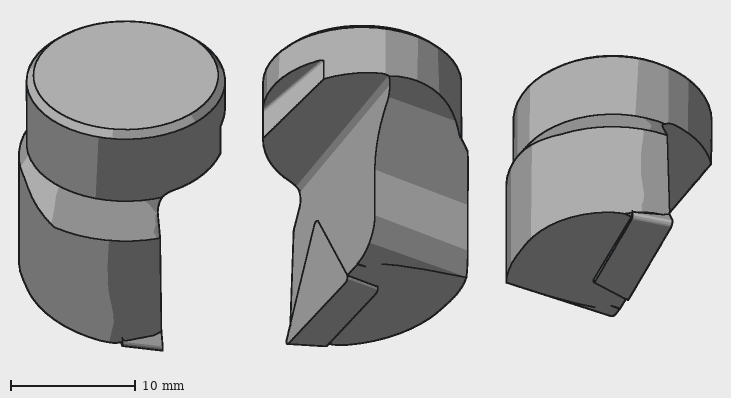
import cadquery as cq
import math

TOTAL_HEIGHT = 20.0
HEAD_RADIUS = 8.0
HEAD_BOTTOM = 13.28
HEAD_CHAMFER = 0.55

SHOULDER_BOTTOM = 10.52
SHOULDER_RADIUS = 9.65
FOOT_RADIUS = 10.32
FRONT_Y = -8.7
LEFT_ARC_RADIUS = 8.7
LEFT_ARC_X = 0.3
RIGHT_ARC_RADIUS = 8.9
RIGHT_ARC_X = 1.7

SIDE_X = -4.0
RELIEF_RADIUS = 8.0
RELIEF_TANGENT_Z = 8.2
HEEL_RADIUS = 2.95

FOOT_Z = 0.8
FOOT_FALL_X = 0.04
FOOT_FALL_Y = 0.1
TIP_CHAMFER_X = 8.85

WALL_ANGLE = math.radians(5.4)
WALL_Y = 1.08
CEILING_Z = 14.35
CEILING_FALL = 0.092
POCKET_CORNER_RADIUS = 1.4

STEP_Y = 6.68
STEP_Z = 16.75
STEP_CORNER_RADIUS = 0.25

INSERT_EDGE = 10.9
INSERT_THICKNESS = 3.15
INSERT_NOSE_RADIUS = 0.4
INSERT_RELIEF_ANGLE = 7.0
INSERT_CORNER_X = 0.3
INSERT_CORNER_Z = 0.15
INSERT_FALL = 0.014

DIAGONAL = math.sqrt(0.5)
REACH = 30.0

WALL_NORMAL = cq.Vector(math.sin(WALL_ANGLE), math.cos(WALL_ANGLE), 0)


def along_wall(fall):
    """Direction along the pocket wall towards +X, dropping by `fall` per unit of length."""
    return cq.Vector(math.cos(WALL_ANGLE), -math.sin(WALL_ANGLE), -fall)


def wall_point(x, z):
    return cq.Vector(x, WALL_Y - x * math.tan(WALL_ANGLE), z)


def make_trim():
    """Vertical prism whose -Y side shapes the shank; it clears the head everywhere else."""
    left_x = LEFT_ARC_X - LEFT_ARC_RADIUS
    left_y = FRONT_Y + LEFT_ARC_RADIUS
    right_x = RIGHT_ARC_X + RIGHT_ARC_RADIUS
    right_y = FRONT_Y + RIGHT_ARC_RADIUS
    left_middle = (LEFT_ARC_X - LEFT_ARC_RADIUS * DIAGONAL, left_y - LEFT_ARC_RADIUS * DIAGONAL)
    right_middle = (
        RIGHT_ARC_X + RIGHT_ARC_RADIUS * DIAGONAL,
        right_y - RIGHT_ARC_RADIUS * DIAGONAL,
    )
    return (
        cq.Workplane("XY")
        .moveTo(left_x, left_y)
        .threePointArc(left_middle, (LEFT_ARC_X, FRONT_Y))
        .lineTo(RIGHT_ARC_X, FRONT_Y)
        .threePointArc(right_middle, (right_x, right_y))
        .lineTo(right_x, REACH)
        .lineTo(left_x, REACH)
        .close()
        .extrude(TOTAL_HEIGHT)
    )


def make_blank():
    profile = [
        (0, 0),
        (FOOT_RADIUS, 0),
        (SHOULDER_RADIUS, SHOULDER_BOTTOM),
        (HEAD_RADIUS, HEAD_BOTTOM),
        (HEAD_RADIUS, TOTAL_HEIGHT - HEAD_CHAMFER),
        (HEAD_RADIUS - HEAD_CHAMFER, TOTAL_HEIGHT),
        (0, TOTAL_HEIGHT),
    ]
    turned = cq.Workplane("XZ").polyline(profile).close().revolve(360, (0, 0), (0, 1))
    return turned.intersect(make_trim())


def foot_cutter():
    """Everything below the sloping underside."""
    normal = cq.Vector(-FOOT_FALL_X, -FOOT_FALL_Y, -1)
    plane = cq.Plane(origin=(0, 0, FOOT_Z), xDir=(1, 0, -FOOT_FALL_X), normal=normal)
    return cq.Workplane(plane).rect(2 * REACH, 2 * REACH).extrude(REACH)


def side_cutter():
    """Concave relief, straight side and rounded heel, running along Y."""
    relief_centre_x = SIDE_X - RELIEF_RADIUS
    heel_top = FOOT_Z + HEEL_RADIUS
    heel_middle = (
        SIDE_X + HEEL_RADIUS * (1 - DIAGONAL),
        heel_top - HEEL_RADIUS * DIAGONAL,
    )
    relief_middle = (
        relief_centre_x + RELIEF_RADIUS * DIAGONAL,
        RELIEF_TANGENT_Z + RELIEF_RADIUS * DIAGONAL,
    )
    return (
        cq.Workplane("XZ")
        .moveTo(relief_centre_x, RELIEF_TANGENT_Z + RELIEF_RADIUS)
        .threePointArc(relief_middle, (SIDE_X, RELIEF_TANGENT_Z))
        .lineTo(SIDE_X, heel_top)
        .threePointArc(heel_middle, (SIDE_X + HEEL_RADIUS, FOOT_Z))
        .lineTo(SIDE_X + HEEL_RADIUS, -REACH)
        .lineTo(relief_centre_x, -REACH)
        .close()
        .extrude(REACH, both=True)
    )


def pocket_cutter():
    """Chip pocket, with a rounded corner between its wall and its ceiling."""
    plane = cq.Plane(
        origin=wall_point(0, CEILING_Z), xDir=along_wall(CEILING_FALL), normal=WALL_NORMAL
    )
    block = cq.Workplane(plane).rect(2 * REACH, REACH).extrude(REACH)
    block = block.translate(plane.yDir * (REACH / 2))
    corner = cq.selectors.NearestToPointSelector(plane.origin.toTuple())
    return block.edges(corner).fillet(POCKET_CORNER_RADIUS)


def step_cutter():
    block = cq.Workplane("XY").box(2 * REACH, REACH, REACH, centered=(True, False, False))
    block = block.translate((0, STEP_Y, STEP_Z - REACH))
    return block.edges("<Y and >Z").fillet(STEP_CORNER_RADIUS)


def tip_cutter():
    """45 degree bevel that clears the nose of the insert."""
    corners = [(TIP_CHAMFER_X, 0), (TIP_CHAMFER_X + REACH, 0), (TIP_CHAMFER_X + REACH, REACH)]
    return cq.Workplane("XZ").polyline(corners).close().extrude(REACH, both=True)


def make_insert():
    plane = cq.Plane(
        origin=wall_point(INSERT_CORNER_X, INSERT_CORNER_Z),
        xDir=along_wall(INSERT_FALL),
        normal=-WALL_NORMAL,
    )
    apex = (INSERT_EDGE / 2, INSERT_EDGE * math.sqrt(3) / 2)
    insert = (
        cq.Workplane(plane)
        .polyline([(0, 0), (INSERT_EDGE, 0), apex])
        .close()
        .extrude(INSERT_THICKNESS, taper=INSERT_RELIEF_ANGLE)
    )
    front_edges = insert.faces(cq.selectors.DirectionMinMaxSelector(WALL_NORMAL)).edges().vals()
    back_edges = insert.faces(cq.selectors.DirectionMinMaxSelector(-WALL_NORMAL)).edges().vals()
    rims = front_edges + back_edges
    noses = [e for e in insert.edges().vals() if not any(e.isSame(rim) for rim in rims)]
    return insert.newObject(noses).fillet(INSERT_NOSE_RADIUS)


def make_holder(insert):
    holder = make_blank()
    for cutter in (foot_cutter(), side_cutter(), pocket_cutter(), step_cutter(), tip_cutter()):
        holder = holder.cut(cutter)
    return holder.cut(insert)


insert = make_insert()
holder = make_holder(insert)

result = cq.Compound.makeCompound([*holder.solids().vals(), *insert.solids().vals()])